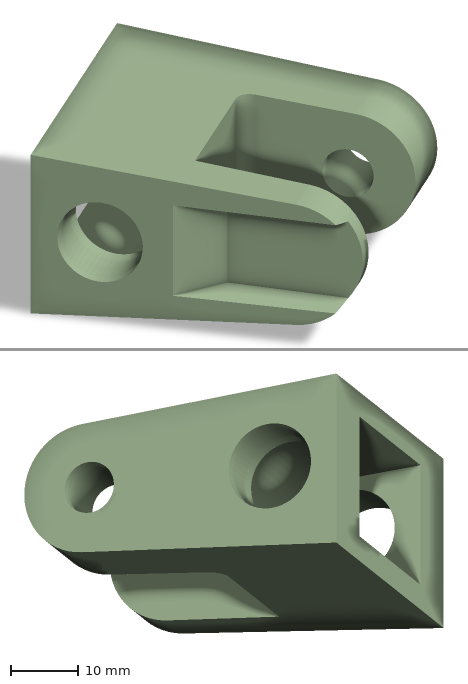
import cadquery as cq
import math

LENGTH = 50.0
BASE_WIDTH = 46.0
TIP_WIDTH = 43.2
BASE_HEIGHT = 26.3
TIP_RADIUS = 10.0
TIP_CENTER_X = LENGTH - TIP_RADIUS

SLOT_FLOOR_X = 23.0
BACK_ARM_INNER_Y = 9.5
FRONT_ARM_INNER_Y = -14.55
SLOT_FLARE = 0.45
SLOT_CORNER_RADIUS = 2.5

CROSS_HOLE_X = 10.65
CROSS_HOLE_DIAMETER = 13.15
POCKET_WIDTH = 26.0
POCKET_END_RADIUS = 8.45

PIN_HOLE_X = 39.6
PIN_HOLE_DIAMETER = 7.9

GROOVE_START_X = 21.85
GROOVE_FLOOR_START_X = 29.0
GROOVE_FLOOR_Y = -18.05
GROOVE_FLOOR_HALF_HEIGHT = 6.35
GROOVE_MOUTH_HALF_HEIGHT = 7.5

taper = math.asin(BASE_HEIGHT / 2 / math.hypot(BASE_HEIGHT / 2, TIP_CENTER_X)) - math.asin(
    TIP_RADIUS / math.hypot(BASE_HEIGHT / 2, TIP_CENTER_X)
)


def tapered_tongue(center_x, radius, width):
    """Solid from X = 0 with tapering faces tangent to a round end, centred on Y."""
    half_base = radius / math.cos(taper) + center_x * math.tan(taper)
    tangent_x = center_x + radius * math.sin(taper)
    tangent_z = radius * math.cos(taper)
    return (
        cq.Workplane("XZ")
        .moveTo(0, -half_base)
        .lineTo(tangent_x, -tangent_z)
        .threePointArc((center_x + radius, 0), (tangent_x, tangent_z))
        .lineTo(0, half_base)
        .close()
        .extrude(width / 2, both=True)
    )


def plan_prism(points):
    """Prism with the given XY outline, taller than the body."""
    return cq.Workplane("XY").polyline(points).close().extrude(BASE_HEIGHT, both=True)


def cross_cylinder(x, diameter, start_y, end_y):
    """Cylinder along Y at mid height."""
    plane = cq.Workplane("XZ", origin=(x, start_y, 0))
    return plane.circle(diameter / 2).extrude(start_y - end_y)


def body():
    side_outline = tapered_tongue(TIP_CENTER_X, TIP_RADIUS, BASE_WIDTH)
    plan = plan_prism([
        (0, -BASE_WIDTH / 2),
        (LENGTH, -TIP_WIDTH / 2),
        (LENGTH, TIP_WIDTH / 2),
        (0, BASE_WIDTH / 2),
    ])
    return side_outline.intersect(plan)


def fork_slot():
    slot = plan_prism([
        (SLOT_FLOOR_X, FRONT_ARM_INNER_Y),
        (LENGTH, FRONT_ARM_INNER_Y - SLOT_FLARE),
        (LENGTH, BACK_ARM_INNER_Y + SLOT_FLARE),
        (SLOT_FLOOR_X, BACK_ARM_INNER_Y),
    ])
    back_corner = cq.selectors.NearestToPointSelector((SLOT_FLOOR_X, BACK_ARM_INNER_Y, 0))
    return slot.edges("|Z").edges(back_corner).fillet(SLOT_CORNER_RADIUS)


def arm_groove():
    draft = (TIP_WIDTH - BASE_WIDTH) / 2 / LENGTH
    mouth_y = -BASE_WIDTH / 2 - draft * GROOVE_START_X
    depth = GROOVE_FLOOR_Y - mouth_y
    outer_start_x = 2 * GROOVE_START_X - GROOVE_FLOOR_START_X
    outer_half_height = 2 * GROOVE_MOUTH_HALF_HEIGHT - GROOVE_FLOOR_HALF_HEIGHT
    outer_y = mouth_y - depth
    channel = (
        cq.Workplane("YZ")
        .polyline([
            (GROOVE_FLOOR_Y, -GROOVE_FLOOR_HALF_HEIGHT),
            (GROOVE_FLOOR_Y, GROOVE_FLOOR_HALF_HEIGHT),
            (outer_y, outer_half_height),
            (outer_y, -outer_half_height),
        ])
        .close()
        .extrude(LENGTH)
    )
    ramp = plan_prism([
        (GROOVE_FLOOR_START_X, GROOVE_FLOOR_Y),
        (LENGTH, GROOVE_FLOOR_Y),
        (LENGTH, outer_y),
        (outer_start_x, outer_y),
    ])
    return channel.intersect(ramp)


base_pocket = tapered_tongue(CROSS_HOLE_X, POCKET_END_RADIUS, POCKET_WIDTH)
cross_hole = cross_cylinder(CROSS_HOLE_X, CROSS_HOLE_DIAMETER, BASE_WIDTH / 2, -BASE_WIDTH / 2)
pin_hole = cross_cylinder(PIN_HOLE_X, PIN_HOLE_DIAMETER, BASE_WIDTH / 2, 0)

result = (
    body()
    .cut(fork_slot())
    .cut(base_pocket)
    .cut(cross_hole)
    .cut(pin_hole)
    .cut(arm_groove())
)